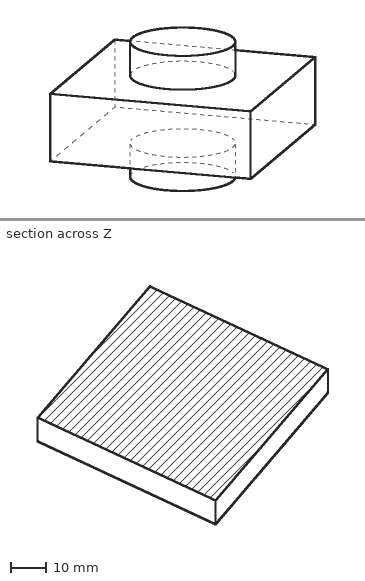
import cadquery as cq

block_side = 60.0
total_height = 40.0
block_height = total_height / 2
boss_diameter = block_side / 2

block = cq.Workplane("XY").box(block_side, block_side, block_height)

boss = cq.Workplane("XY").cylinder(total_height, boss_diameter / 2)

result = block.union(boss)